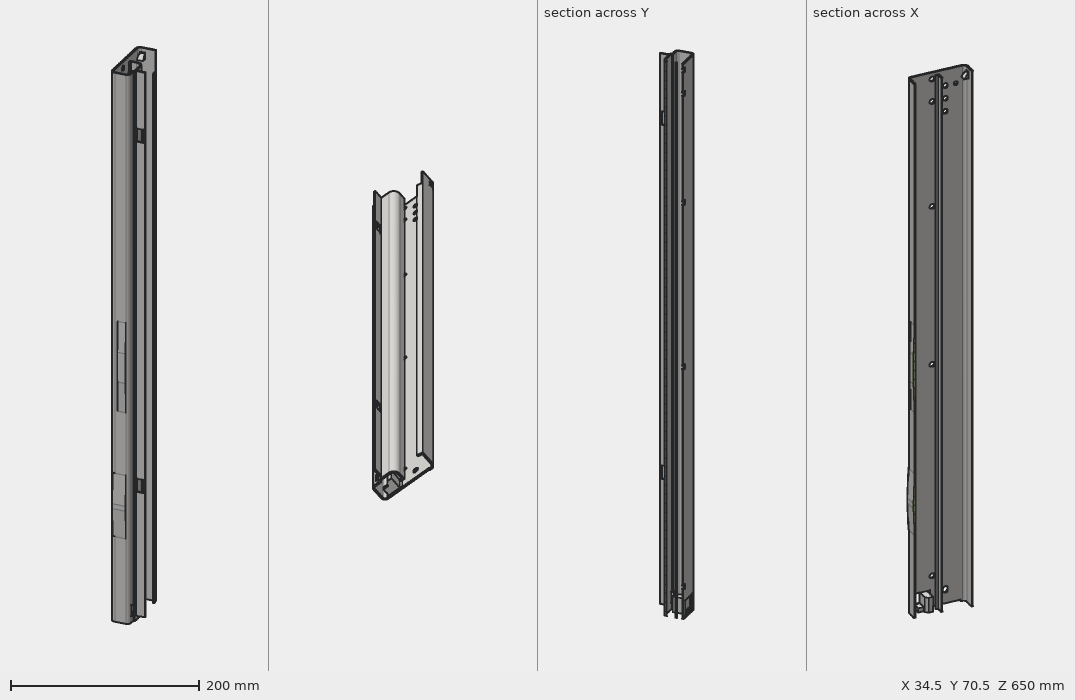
import cadquery as cq
length = 650.0
rail_height = 69.5
sheet = 2.0
corner_radius = 5.0
web_end_z = 2.0

top_flange_width = 21.5
top_lip_end_z = 624.0
top_lip_lean = 1.0
top_lip_drop = 7.0

pad_height = 1.0
pad_edge_x = 18.0

channel_width = 24.0
channel_height = 34.0
lower_wall_x = 22.0
ledge_y = 10.5
lower_bend_radius = lower_wall_x - pad_edge_x
upper_bend_radius = 8.5
hook_end_x = 8.0
hook_drop = 4.5

plate_edge_x = 34.5
plate_thickness = 2.0
plate_y = 14.0
plate_end_z = 7.0
window_height = 15.5
window_start_x = 25.0
window_end_x = 32.5
window_centres_z = [574.5, 161.0]

long_pad = (8.5, 251.5, 286.5, 322.0, 357.5)
short_pad = (2.5, 103.0, 136.0, 142.0, 177.5)

hole_diameter = 6.0
small_hole_diameter = 4.5
rear_hole_y = 28.5
middle_hole_y = 44.0
outer_hole_y = 56.5
rear_holes_z = [642.0, 615.0, 487.5, 296.0, 39.0]
middle_holes_z = [630.5, 615.0, 599.0]
outer_hole_z = 630.5
slot_z = 19.0
slot_length = 8.0

detent_top_z = 645.0
detent_bottom_z = 637.0
detent_recess_depth = 1.0
detent_reach = 4.5
detent_edge_x = 9.0

opening_low_y = 6.0
latch_top_z = 22.0
latch_foot_top_z = 9.0
latch_bottom_z = 4.0
latch_high_y = 26.0
latch_block_high_y = 23.0
latch_split_y = 14.0
latch_low_y = 8.0
latch_block_x = 16.0
latch_foot_x = 11.0
latch_chamfer = 3.0
latch_groove_width = 2.0
latch_groove_depth = 1.0
latch_groove_count = 3


def box(x_range, y_range, z_range):
    """Axis-aligned block between the given limits."""
    size = [high - low for low, high in (x_range, y_range, z_range)]
    origin = (x_range[0], y_range[0], z_range[0])
    return cq.Workplane("XY").box(*size, centered=False).translate(origin)


def jogged_core(inset):
    """Solid of the channel's section, moved in from its outer faces by `inset`.

    The +X side steps out at the ledge.
    """
    high_y = channel_height - inset
    step_y = ledge_y + inset
    z_range = (web_end_z, length)
    lower = box((inset, lower_wall_x - inset), (inset, step_y), z_range)
    lower = lower.edges("|Z and <X and <Y").fillet(corner_radius - inset)
    lower = lower.edges("|Z and >X and <Y").fillet(lower_bend_radius - inset)
    upper = box((inset, channel_width - inset), (step_y, high_y), z_range)
    upper = upper.edges("|Z and >X and >Y").fillet(upper_bend_radius - inset)
    return lower.union(upper)


def bent_channel():
    """Web, bottom flange, jogged side wall and hook."""
    z_range = (web_end_z, length)
    mouth = box((sheet, hook_end_x), (channel_height / 2, channel_height), z_range)
    web = box((0, sheet), (corner_radius, rail_height - corner_radius), z_range)
    hook_y = (channel_height - hook_drop, channel_height)
    hook_leg = box((hook_end_x, hook_end_x + sheet), hook_y, z_range)
    return jogged_core(0).cut(jogged_core(sheet)).cut(mouth).union(web).union(hook_leg)


def top_flange():
    """Bend and flange on the +Y side, reaching Z = 0."""
    y_range = (rail_height - top_lip_drop, rail_height)
    outer = box((0, top_flange_width), y_range, (0, length))
    outer = outer.edges("|Z and <X and >Y").fillet(corner_radius)
    inner = box((sheet, top_flange_width), (y_range[0], rail_height - sheet), (0, length))
    inner = inner.edges("|Z and <X and >Y").fillet(corner_radius - sheet)
    return outer.cut(inner)


def top_lip():
    """Down-turned, slightly slanted lip along the free edge of the top flange."""
    root_x = top_flange_width - sheet
    end_y = rail_height - top_lip_drop
    return (
        cq.Workplane("XY")
        .polyline(
            [
                (top_flange_width, rail_height),
                (top_flange_width + top_lip_lean, end_y),
                (root_x + top_lip_lean, end_y),
                (root_x, rail_height),
            ]
        )
        .close()
        .extrude(top_lip_end_z)
    )


def mounting_plate():
    """Flat plate standing out from the side wall, with two windows."""
    y_range = (plate_y - plate_thickness / 2, plate_y + plate_thickness / 2)
    root_x = channel_width - sheet / 2
    plate = box((root_x, plate_edge_x), y_range, (plate_end_z, length))
    for centre in window_centres_z:
        z_range = (centre - window_height / 2, centre + window_height / 2)
        plate = plate.cut(box((window_start_x, window_end_x), y_range, z_range))
    return plate


def ramped_pad(start_x, bottom_z, flat_bottom_z, flat_top_z, top_z):
    """Raised pad on the bottom flange: a flat between two ramps."""
    return (
        cq.Workplane("YZ")
        .workplane(offset=start_x)
        .polyline(
            [
                (sheet, bottom_z),
                (0, bottom_z),
                (-pad_height, flat_bottom_z),
                (-pad_height, flat_top_z),
                (0, top_z),
                (sheet, top_z),
            ]
        )
        .close()
        .extrude(pad_edge_x - start_x)
    )


def web_hole(y, z, diameter):
    """Cutter for a round hole through the web only."""
    hole = cq.Workplane("YZ").center(y, z).circle(diameter / 2)
    return hole.extrude(sheet)


def web_slot():
    """Cutter for the upright slot near the lower end of the web."""
    slot = cq.Workplane("YZ").center(middle_hole_y, slot_z)
    return slot.slot2D(slot_length, hole_diameter, 90).extrude(sheet)


def detent_recess():
    """Cutter for the shallow pocket left in the top flange above the detent."""
    y_range = (rail_height - detent_recess_depth, rail_height)
    return box((0, detent_edge_x), y_range, (detent_bottom_z, detent_top_z))


def detent():
    """Wedge pressed inward from the top flange, sloping down from its upper end."""
    root_y = rail_height - detent_recess_depth
    tip_y = rail_height - sheet - detent_reach
    return (
        cq.Workplane("YZ")
        .workplane(offset=sheet)
        .polyline([(root_y, detent_top_z), (root_y, detent_bottom_z), (tip_y, detent_bottom_z)])
        .close()
        .extrude(detent_edge_x - sheet)
    )


def latch_window():
    """Cutter for the openings around the latch, in the web and the side wall."""
    y_range = (opening_low_y, latch_high_y)
    web_opening = box((0, sheet), y_range, (latch_bottom_z, latch_top_z))
    wall_opening = box(
        (channel_width / 2, channel_width),
        (opening_low_y, ledge_y + sheet),
        (latch_foot_top_z, latch_top_z),
    )
    return web_opening.union(wall_opening)


def make_rail():
    rail = bent_channel().union(top_flange()).union(top_lip()).union(mounting_plate())
    for pad in (long_pad, short_pad):
        rail = rail.union(ramped_pad(*pad))
    rail = rail.cut(detent_recess()).union(detent())
    for z in rear_holes_z:
        rail = rail.cut(web_hole(rear_hole_y, z, hole_diameter))
    for z in middle_holes_z:
        rail = rail.cut(web_hole(middle_hole_y, z, hole_diameter))
    rail = rail.cut(web_hole(outer_hole_y, outer_hole_z, small_hole_diameter))
    return rail.cut(web_slot()).cut(latch_window())


def make_latch():
    """Stepped catch: a tall block with a lower foot, grooved on its outer face."""
    tall_z = (latch_bottom_z, latch_top_z)
    foot_z = (latch_bottom_z, latch_foot_top_z)
    block = box((0, latch_block_x), (latch_split_y, latch_block_high_y), tall_z)
    block = block.edges("|Z and >X and <Y").chamfer(latch_chamfer)
    face = box((0, sheet), (latch_split_y, latch_high_y), tall_z)
    foot = box((0, latch_foot_x), (latch_low_y, latch_split_y), foot_z)
    latch = block.union(face).union(foot)
    pitch = (latch_high_y - latch_low_y) / (latch_groove_count + 1)
    for index in range(latch_groove_count):
        middle = latch_low_y + (index + 1) * pitch
        groove_y = (middle - latch_groove_width / 2, middle + latch_groove_width / 2)
        latch = latch.cut(box((0, latch_groove_depth), groove_y, foot_z))
    return latch


rail = make_rail()
latch = make_latch()
result = cq.Compound.makeCompound([rail.val(), latch.val()])